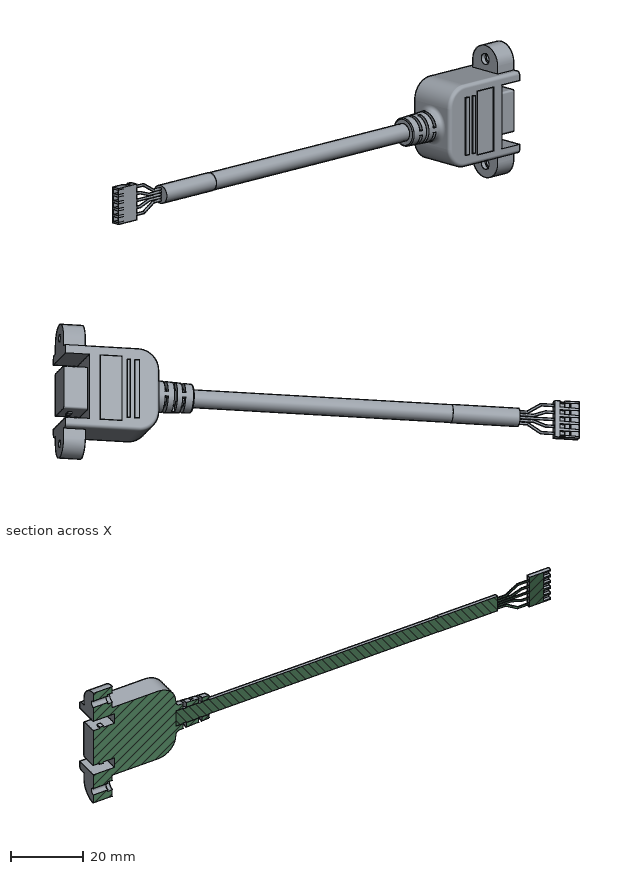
import cadquery as cq
import math

LENGTH = 148.0

HOUSING_HALF_X = 7.4
HOUSING_HEIGHT = 23.5
HOUSING_HALF_Z = HOUSING_HEIGHT / 2
HOUSING_LENGTH = 26.8
CORNER_RADIUS = 5.9
RIM_FILLET = 1.0
NOTCH_DEPTH = 6.8
NOTCH_HALF_Z = 9.2

PORT_HALF_X = 5.2
PORT_HALF_Z = 6.0
PORT_FILLET = 0.6
BUMP_LENGTH = 1.2
BUMP_START = 2.0
BUMP_HEIGHT = 0.5
BUMP_WIDTH = 3.0

TAB_RADIUS = 5.0
TAB_THICKNESS = 6.2
TAB_SPAN = 38.0
TAB_TOP_Z = TAB_SPAN / 2
TAB_ARC_Z = TAB_TOP_Z - TAB_RADIUS
SCREW_HOLE_Z = 15.1
SCREW_HOLE_DIAMETER = 2.0
COUNTERBORE_DIAMETER = 3.1
COUNTERBORE_DEPTH = 1.5

LABEL_START = 9.9
LABEL_LENGTH = 6.2
LABEL_HALF_Z = 9.2
LABEL_DEPTH = 0.3
RIB_HEIGHT = 0.5
RIB_HALF_Z = 8.3
RIB_SPANS = [(17.5, 18.4), (19.7, 21.0)]

RELIEF_END = 37.6
RELIEF_ROOT_FILLET = 1.2
RELIEF_ROOT_RADIUS = 4.5
RELIEF_END_RADIUS = 4.0
RELIEF_END_CHAMFER = 0.3
GROOVE_WIDTH = 0.9
GROOVE_WEB = 1.3
GROOVE_STARTS = [29.2, 31.8, 34.2]

CABLE_DIAMETER = 5.0
CABLE_RADIUS = CABLE_DIAMETER / 2
SLEEVE_DIAMETER = 5.2
SLEEVE_RADIUS = SLEEVE_DIAMETER / 2
SLEEVE_START = 111.7
SLEEVE_END = 130.8

CONNECTOR_HALF_X = 1.2
CONNECTOR_HALF_Z = 5.2
CONNECTOR_LENGTH = 7.0
CONNECTOR_START = LENGTH - CONNECTOR_LENGTH
CONTACT_COUNT = 5
CONTACT_SPAN = 8.0
CONTACT_PITCH = CONTACT_SPAN / (CONTACT_COUNT - 1)
WINDOW_WIDTH = 1.26
WINDOW_START = 142.5
WINDOW_STEP = 144.0
WINDOW_END = 145.3
DEEP_WINDOW_DEPTH = 1.2
SHALLOW_WINDOW_DEPTH = 0.6
END_NOTCH_DEPTH = 0.3
SOCKET_WIDTH_X = 1.8
SOCKET_WIDTH_Z = 1.3
SOCKET_DEPTH = 2.2

WIRE_DIAMETER = 0.7
WIRE_PITCH = 0.81
BENDS = {1: (135.3, 138.7), 2: (133.5, 137.3)}


def block(x_range, distance_range, z_range):
    """Box between two X values, two distances behind the mounting face and two Z values."""
    x0, x1 = x_range
    d0, d1 = distance_range
    z0, z1 = z_range
    return cq.Workplane("XY").box(x1 - x0, d1 - d0, z1 - z0, centered=False).translate((x0, -d1, z0))


def cross_section(distance, z):
    """Workplane square to the cable at a distance behind the mounting face, facing -Y."""
    return cq.Workplane(cq.Plane(origin=(0, -distance, z), xDir=(0, 0, 1), normal=(0, -1, 0)))


def rod(radius, start, end):
    """Cylinder on the cable axis between two distances behind the mounting face."""
    return cross_section(start, 0).circle(radius).extrude(end - start)


def housing_shell():
    half_x = (-HOUSING_HALF_X, HOUSING_HALF_X)
    half_z = (-HOUSING_HALF_Z, HOUSING_HALF_Z)
    shell = block(half_x, (0, HOUSING_LENGTH), half_z)
    shell = shell.faces("<Y").edges("|X").fillet(CORNER_RADIUS)
    broad_edges = shell.faces("<X or >X").edges("not >Y")
    shell = broad_edges.fillet(RIM_FILLET)
    notch = block(half_x, (0, NOTCH_DEPTH), (-NOTCH_HALF_Z, NOTCH_HALF_Z))
    return shell.cut(notch)


def usb_port():
    port = block((-PORT_HALF_X, PORT_HALF_X), (0, NOTCH_DEPTH), (-PORT_HALF_Z, PORT_HALF_Z))
    port = port.edges("|Y").fillet(PORT_FILLET)
    bump_z = PORT_HALF_Z + BUMP_HEIGHT
    bumps = block(
        (-BUMP_WIDTH / 2, BUMP_WIDTH / 2), (BUMP_START, BUMP_START + BUMP_LENGTH), (-bump_z, bump_z)
    )
    return port.union(bumps)


def screw_tab(side):
    """Round-ended tab with a screw hole, on the +Z (side = 1) or -Z (side = -1) end."""
    tab = (
        cq.Workplane("XZ")
        .moveTo(-TAB_RADIUS, side * NOTCH_HALF_Z)
        .lineTo(-TAB_RADIUS, side * TAB_ARC_Z)
        .threePointArc((0, side * TAB_TOP_Z), (TAB_RADIUS, side * TAB_ARC_Z))
        .lineTo(TAB_RADIUS, side * NOTCH_HALF_Z)
        .close()
        .extrude(TAB_THICKNESS)
    )
    hole_z = side * SCREW_HOLE_Z
    hole = cross_section(0, hole_z).circle(SCREW_HOLE_DIAMETER / 2).extrude(TAB_THICKNESS)
    counterbore_start = TAB_THICKNESS - COUNTERBORE_DEPTH
    counterbore = (
        cross_section(counterbore_start, hole_z).circle(COUNTERBORE_DIAMETER / 2).extrude(COUNTERBORE_DEPTH)
    )
    return tab.cut(hole).cut(counterbore)


def grip_ribs():
    reach = HOUSING_HALF_X + RIB_HEIGHT
    ribs = cq.Workplane("XY")
    for span in RIB_SPANS:
        ribs = ribs.union(block((-reach, reach), span, (-RIB_HALF_Z, RIB_HALF_Z)))
    return ribs


def label_recesses():
    floor = HOUSING_HALF_X - LABEL_DEPTH
    span = (LABEL_START, LABEL_START + LABEL_LENGTH)
    half_z = (-LABEL_HALF_Z, LABEL_HALF_Z)
    left = block((-HOUSING_HALF_X, -floor), span, half_z)
    return left.union(block((floor, HOUSING_HALF_X), span, half_z))


def strain_relief():
    """Tapered sleeve with a concave root; its slots reach the cable and leave webs on two sides."""
    root_y = -HOUSING_LENGTH
    arc_offset = RELIEF_ROOT_FILLET * (1 - math.sqrt(0.5))
    relief = (
        cq.Workplane("YZ")
        .moveTo(root_y, 0)
        .lineTo(root_y, RELIEF_ROOT_RADIUS + RELIEF_ROOT_FILLET)
        .threePointArc(
            (root_y - arc_offset, RELIEF_ROOT_RADIUS + arc_offset),
            (root_y - RELIEF_ROOT_FILLET, RELIEF_ROOT_RADIUS),
        )
        .lineTo(-RELIEF_END, RELIEF_END_RADIUS)
        .lineTo(-RELIEF_END, 0)
        .close()
        .revolve(360, (0, 0, 0), (1, 0, 0))
    )
    relief = relief.faces("<Y").edges().chamfer(RELIEF_END_CHAMFER)
    reach = RELIEF_ROOT_RADIUS
    for index, start in enumerate(GROOVE_STARTS):
        span = (start, start + GROOVE_WIDTH)
        web_half = GROOVE_WEB / 2
        webs_on_x = index % 2 == 0
        if webs_on_x:
            web = block((-reach, reach), span, (-web_half, web_half))
        else:
            web = block((-web_half, web_half), span, (-reach, reach))
        relief = relief.cut(rod(reach, *span).cut(web))
    return relief


def make_housing():
    housing = housing_shell().union(usb_port()).union(grip_ribs()).cut(label_recesses())
    for side in (1, -1):
        housing = housing.union(screw_tab(side))
    housing = housing.union(strain_relief())
    return housing.cut(rod(CABLE_RADIUS, HOUSING_LENGTH, RELIEF_END))


def make_cable():
    jacket = rod(CABLE_RADIUS, HOUSING_LENGTH, SLEEVE_START)
    return jacket.union(rod(SLEEVE_RADIUS, SLEEVE_START, SLEEVE_END))


def contact_z(index):
    return index * CONTACT_PITCH


def contact_indices():
    """Contact numbers counted from the middle one: -2 to 2 for five contacts."""
    return [number - CONTACT_COUNT // 2 for number in range(CONTACT_COUNT)]


def contact_window(z):
    """Stepped window in the -X face, deep toward the wires and shallow beyond."""
    half_z = (z - WINDOW_WIDTH / 2, z + WINDOW_WIDTH / 2)
    deep_x = (-CONNECTOR_HALF_X, -CONNECTOR_HALF_X + DEEP_WINDOW_DEPTH)
    shallow_x = (-CONNECTOR_HALF_X, -CONNECTOR_HALF_X + SHALLOW_WINDOW_DEPTH)
    deep = block(deep_x, (WINDOW_START, WINDOW_STEP), half_z)
    return deep.union(block(shallow_x, (WINDOW_STEP, WINDOW_END), half_z))


def contact_socket(z):
    """Blind rectangular socket in the free end."""
    half_x = (-SOCKET_WIDTH_X / 2, SOCKET_WIDTH_X / 2)
    half_z = (z - SOCKET_WIDTH_Z / 2, z + SOCKET_WIDTH_Z / 2)
    return block(half_x, (LENGTH - SOCKET_DEPTH, LENGTH), half_z)


def end_notches():
    """Notches in the +Z and -Z ends of the connector, level with the deep part of the windows."""
    x_range = (-CONNECTOR_HALF_X, -CONNECTOR_HALF_X + DEEP_WINDOW_DEPTH)
    span = (WINDOW_START, WINDOW_STEP)
    floor = CONNECTOR_HALF_Z - END_NOTCH_DEPTH
    top = block(x_range, span, (floor, CONNECTOR_HALF_Z))
    return top.union(block(x_range, span, (-CONNECTOR_HALF_Z, -floor)))


def make_connector():
    half_x = (-CONNECTOR_HALF_X, CONNECTOR_HALF_X)
    half_z = (-CONNECTOR_HALF_Z, CONNECTOR_HALF_Z)
    connector = block(half_x, (CONNECTOR_START, LENGTH), half_z).cut(end_notches())
    for index in contact_indices():
        z = contact_z(index)
        connector = connector.cut(contact_window(z)).cut(contact_socket(z))
    return connector


def make_wire(index):
    """Round wire from the sleeve end to its contact, spread outward by two bends."""
    start_z = index * WIRE_PITCH
    path = cq.Workplane("YZ").moveTo(-SLEEVE_END, start_z)
    if index != 0:
        bend_start, bend_end = BENDS[abs(index)]
        path = path.lineTo(-bend_start, start_z).lineTo(-bend_end, contact_z(index))
    path = path.lineTo(-CONNECTOR_START, contact_z(index))
    section = cross_section(SLEEVE_END, start_z).circle(WIRE_DIAMETER / 2)
    return section.sweep(path, transition="right")


housing = make_housing()
cable = make_cable()
connector = make_connector()
wires = [make_wire(index) for index in contact_indices()]

result = cq.Compound.makeCompound(
    [housing.val(), cable.val(), connector.val(), *[wire.val() for wire in wires]]
)